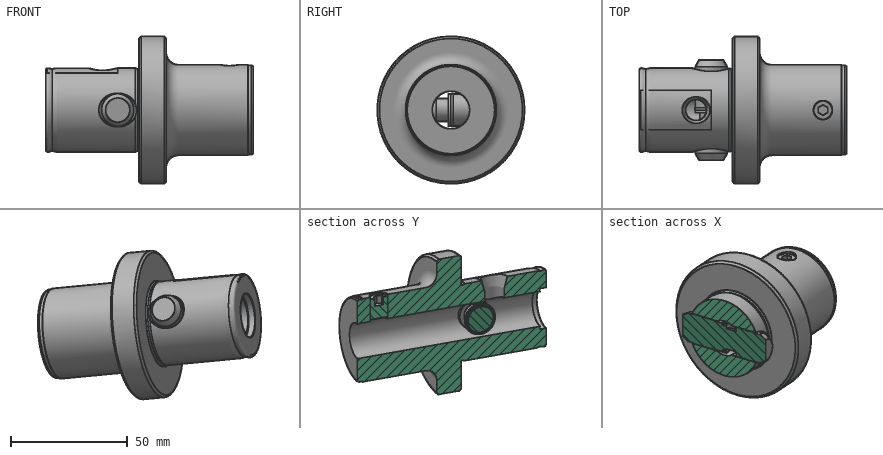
import cadquery as cq
import math

LENGTH = 89.0
PIN_X = 30.9
FLANGE_START = 40.0
FLANGE_END = 51.7

FLANGE_DIAMETER = 63.3
FLANGE_RADIUS = FLANGE_DIAMETER / 2
FLANGE_CHAMFER = 1.0

SPIGOT_RADIUS = 18.1
SPIGOT_EDGE_FILLET = 1.1
GROOVE_START = 1.2
GROOVE_BOTTOM = 2.8
GROOVE_END = 4.8
GROOVE_DEPTH = 0.45
UNDERCUT_START = 38.4
UNDERCUT_FLOOR = 39.4
UNDERCUT_DEPTH = 0.45
UNDERCUT_FILLET = 0.7
UNDERCUT_FACE_RADIUS = 18.6

HUB_RADIUS = 19.5
HUB_FILLET = 5.1
HUB_STEP_START = 86.5
HUB_STEP = 0.3
HUB_CHAMFER_LENGTH = 0.9
HUB_CHAMFER_ANGLE = math.radians(30)

BORE_RADIUS = 8.0
COUNTERBORE_RADIUS = 9.35
COUNTERBORE_DEPTH = 2.9
COUNTERBORE_CHAMFER = 0.3

RELIEF_RADIUS = 18.0
RELIEF_WIDTH = 16.9
RELIEF_END = PIN_X

LOCATING_X = 24.4
LOCATING_RADIUS = 4.45
LOCATING_CONE_BOTTOM = 12.4
LOCATING_CONE_ANGLE = math.radians(15)

PIN_RADIUS = 6.9
PIN_HALF_LENGTH = 21.5
PIN_CONE_LENGTH = 3.0
PIN_CONE_ANGLE = math.radians(30)
PIN_NECK_RADIUS = 5.0
PIN_NECK_START = -6.2
PIN_NECK_END = -1.2
PIN_HOLE_CONE_START = 16.0

RING_Y = 0.45
RING_CORD_RADIUS = 0.5
RING_PROTRUSION = 0.2

SCREW_X = 78.8
SCREW_RADIUS = 4.1
SCREW_TOP = 18.6
SCREW_BOTTOM = 8.9
SCREW_CHAMFER = 0.2
HEX_ACROSS_FLATS = 3.9
HEX_DEPTH = 3.6
HEX_SIDES = 6


def turned_about_x(profile):
    """Revolve a closed profile, drawn as (x, radius), about the X axis."""
    return profile.close().revolve(360, (0, 0, 0), (1, 0, 0))


def turned_about_pin_axis(profile):
    """Revolve a closed profile, drawn as (x, y), about the cross pin's axis."""
    return profile.close().revolve(360, (PIN_X, 0, 0), (PIN_X, 1, 0))


def turned_blank():
    """Spigot, flange and hub as one turned shape."""
    groove_radius = SPIGOT_RADIUS - GROOVE_DEPTH
    undercut_radius = SPIGOT_RADIUS - UNDERCUT_DEPTH
    undercut_x = UNDERCUT_FLOOR + UNDERCUT_FILLET
    flange_face_radius = FLANGE_RADIUS - FLANGE_CHAMFER
    end_radius = HUB_RADIUS - HUB_STEP
    chamfer_drop = HUB_CHAMFER_LENGTH * math.tan(HUB_CHAMFER_ANGLE)
    profile = (
        cq.Workplane("XY")
        .moveTo(0, 0)
        .lineTo(0, SPIGOT_RADIUS - SPIGOT_EDGE_FILLET)
        .radiusArc((SPIGOT_EDGE_FILLET, SPIGOT_RADIUS), SPIGOT_EDGE_FILLET)
        .lineTo(GROOVE_START, SPIGOT_RADIUS)
        .lineTo(GROOVE_BOTTOM, groove_radius)
        .lineTo(GROOVE_END, SPIGOT_RADIUS)
        .lineTo(UNDERCUT_START, SPIGOT_RADIUS)
        .lineTo(UNDERCUT_FLOOR, undercut_radius)
        .radiusArc((undercut_x, undercut_radius + UNDERCUT_FILLET), -UNDERCUT_FILLET)
        .lineTo(FLANGE_START, UNDERCUT_FACE_RADIUS)
        .lineTo(FLANGE_START, flange_face_radius)
        .lineTo(FLANGE_START + FLANGE_CHAMFER, FLANGE_RADIUS)
        .lineTo(FLANGE_END - FLANGE_CHAMFER, FLANGE_RADIUS)
        .lineTo(FLANGE_END, flange_face_radius)
        .lineTo(FLANGE_END, HUB_RADIUS + HUB_FILLET)
        .radiusArc((FLANGE_END + HUB_FILLET, HUB_RADIUS), -HUB_FILLET)
        .lineTo(HUB_STEP_START, HUB_RADIUS)
        .lineTo(HUB_STEP_START + HUB_STEP, end_radius)
        .lineTo(LENGTH - HUB_CHAMFER_LENGTH, end_radius)
        .lineTo(LENGTH, end_radius - chamfer_drop)
        .lineTo(LENGTH, 0)
    )
    return turned_about_x(profile)


def bore():
    """Through bore with a chamfered counterbore at the spigot end."""
    profile = (
        cq.Workplane("XY")
        .moveTo(0, 0)
        .lineTo(0, COUNTERBORE_RADIUS + COUNTERBORE_CHAMFER)
        .lineTo(COUNTERBORE_CHAMFER, COUNTERBORE_RADIUS)
        .lineTo(COUNTERBORE_DEPTH, COUNTERBORE_RADIUS)
        .lineTo(COUNTERBORE_DEPTH, BORE_RADIUS)
        .lineTo(LENGTH, BORE_RADIUS)
        .lineTo(LENGTH, 0)
    )
    return turned_about_x(profile)


def top_relief():
    """Thin shell removed from the top of the spigot, over the width of the relief."""
    strip = cq.Workplane("XY").box(RELIEF_END, RELIEF_WIDTH, FLANGE_RADIUS, centered=(False, True, False))
    core = cq.Workplane("YZ").circle(RELIEF_RADIUS).extrude(RELIEF_END)
    return strip.cut(core)


def locating_hole():
    """Round hole from the bore upwards that widens as a cone to the outside."""
    cone_height = SPIGOT_RADIUS - LOCATING_CONE_BOTTOM
    mouth_radius = LOCATING_RADIUS + cone_height * math.tan(LOCATING_CONE_ANGLE)
    profile = (
        cq.Workplane("XZ")
        .moveTo(LOCATING_X, 0)
        .lineTo(LOCATING_X + LOCATING_RADIUS, 0)
        .lineTo(LOCATING_X + LOCATING_RADIUS, LOCATING_CONE_BOTTOM)
        .lineTo(LOCATING_X + mouth_radius, SPIGOT_RADIUS)
        .lineTo(LOCATING_X, SPIGOT_RADIUS)
        .close()
    )
    return profile.revolve(360, (LOCATING_X, 0, 0), (LOCATING_X, 1, 0))


def pin_hole():
    """Cross hole for the pin, flared at both mouths."""
    mouth_radius = PIN_RADIUS + (SPIGOT_RADIUS - PIN_HOLE_CONE_START) * math.tan(PIN_CONE_ANGLE)
    profile = (
        cq.Workplane("XY")
        .moveTo(PIN_X, -SPIGOT_RADIUS)
        .lineTo(PIN_X + mouth_radius, -SPIGOT_RADIUS)
        .lineTo(PIN_X + PIN_RADIUS, -PIN_HOLE_CONE_START)
        .lineTo(PIN_X + PIN_RADIUS, PIN_HOLE_CONE_START)
        .lineTo(PIN_X + mouth_radius, SPIGOT_RADIUS)
        .lineTo(PIN_X, SPIGOT_RADIUS)
    )
    return turned_about_pin_axis(profile)


def screw_hole():
    """Round hole from the bore to the top of the hub."""
    return cq.Workplane("XY").center(SCREW_X, 0).circle(SCREW_RADIUS).extrude(HUB_RADIUS)


def make_housing():
    """Flanged adapter with its bore, relief and cross holes."""
    housing = turned_blank()
    for removed in (bore(), top_relief(), locating_hole(), pin_hole(), screw_hole()):
        housing = housing.cut(removed)
    return housing


def make_ring():
    """O-ring standing slightly proud of the cross pin."""
    cord_centre = PIN_RADIUS + RING_PROTRUSION - RING_CORD_RADIUS
    cord = cq.Workplane("XY").center(PIN_X + cord_centre, RING_Y).circle(RING_CORD_RADIUS)
    return cord.revolve(360, (-cord_centre, 0, 0), (-cord_centre, 1, 0))


def make_pin():
    """Cross pin with conical ends, a neck and a groove that holds the O-ring."""
    tip_radius = PIN_RADIUS - PIN_CONE_LENGTH * math.tan(PIN_CONE_ANGLE)
    cone_start = PIN_HALF_LENGTH - PIN_CONE_LENGTH
    groove_radius = PIN_RADIUS + RING_PROTRUSION - 2 * RING_CORD_RADIUS
    groove_start = RING_Y - RING_CORD_RADIUS
    groove_end = RING_Y + RING_CORD_RADIUS
    profile = (
        cq.Workplane("XY")
        .moveTo(PIN_X, -PIN_HALF_LENGTH)
        .lineTo(PIN_X + tip_radius, -PIN_HALF_LENGTH)
        .lineTo(PIN_X + PIN_RADIUS, -cone_start)
        .lineTo(PIN_X + PIN_RADIUS, PIN_NECK_START)
        .lineTo(PIN_X + PIN_NECK_RADIUS, PIN_NECK_START)
        .lineTo(PIN_X + PIN_NECK_RADIUS, PIN_NECK_END)
        .lineTo(PIN_X + PIN_RADIUS, PIN_NECK_END)
        .lineTo(PIN_X + PIN_RADIUS, groove_start)
        .lineTo(PIN_X + groove_radius, groove_start)
        .lineTo(PIN_X + groove_radius, groove_end)
        .lineTo(PIN_X + PIN_RADIUS, groove_end)
        .lineTo(PIN_X + PIN_RADIUS, cone_start)
        .lineTo(PIN_X + tip_radius, PIN_HALF_LENGTH)
        .lineTo(PIN_X, PIN_HALF_LENGTH)
    )
    return turned_about_pin_axis(profile)


def make_screw():
    """Headless set screw with a hexagon socket whose corners point along Y."""
    corner_diameter = HEX_ACROSS_FLATS / math.cos(math.pi / HEX_SIDES)
    body = (
        cq.Workplane("XY", origin=(SCREW_X, 0, SCREW_BOTTOM))
        .circle(SCREW_RADIUS)
        .extrude(SCREW_TOP - SCREW_BOTTOM)
        .faces(">Z")
        .chamfer(SCREW_CHAMFER)
    )
    socket = (
        cq.Workplane("XY", origin=(SCREW_X, 0, SCREW_TOP))
        .transformed(rotate=(0, 0, 90))
        .polygon(HEX_SIDES, corner_diameter)
        .extrude(-HEX_DEPTH)
    )
    return body.cut(socket)


housing = make_housing()
pin = make_pin()
ring = make_ring()
screw = make_screw()

result = cq.Compound.makeCompound([housing.val(), pin.val(), ring.val(), screw.val()])